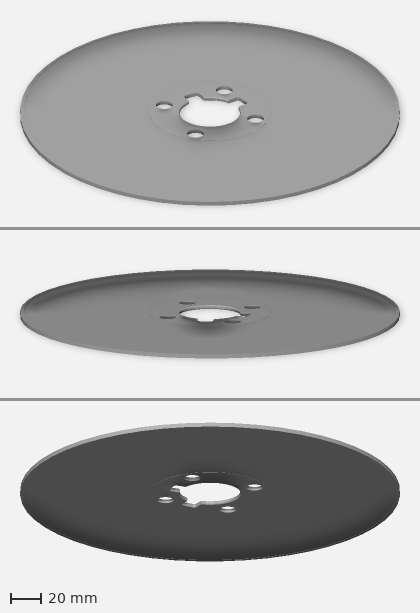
import cadquery as cq

rim_thickness = 2.8
hub_thickness = 2.5
web_thickness = 2.2

outer_diameter = 250.0
core_diameter = 248.0
rim_inner_diameter = 245.8

hub_diameter = 80.0
bore_diameter = 40.0
bore_chamfer = 0.5
keyway_width = 11.0
keyway_reach = 27.5
keyway_corner_radius = 2.0
keyway_angles = (99.0, 180.0)
bolt_hole_diameter = 11.0
bolt_circle_diameter = 63.0
bolt_hole_count = 4
first_bolt_angle = 45.0


def centred_disc(diameter, thickness):
    """Plain disc centred on the origin."""
    return cq.Workplane("XY").circle(diameter / 2).extrude(thickness / 2, both=True)


def make_bore():
    """Cutter for the bore, flared by a chamfer at both hub faces."""
    radius = bore_diameter / 2
    half = hub_thickness / 2
    profile = [
        (0, -half),
        (radius + bore_chamfer, -half),
        (radius, bore_chamfer - half),
        (radius, half - bore_chamfer),
        (radius + bore_chamfer, half),
        (0, half),
    ]
    return cq.Workplane("XZ").polyline(profile).close().revolve(360, (0, 0, 0), (0, 1, 0))


def make_keyway(angle):
    """Cutter for one keyway, running outward from the wheel axis at the given angle."""
    cutter = (
        cq.Workplane("XY")
        .box(keyway_reach, keyway_width, hub_thickness, centered=(False, True, True))
        .edges("|Z and >X")
        .fillet(keyway_corner_radius)
    )
    return cutter.rotate((0, 0, 0), (0, 0, 1), angle)


def make_bolt_holes():
    """Cutter for the circle of bolt holes."""
    return (
        cq.Workplane("XY")
        .polarArray(bolt_circle_diameter / 2, first_bolt_angle, 360, bolt_hole_count)
        .circle(bolt_hole_diameter / 2)
        .extrude(hub_thickness / 2, both=True)
    )


def make_core():
    """Thin web with a slightly raised hub, a keyed bore and bolt holes."""
    core = centred_disc(core_diameter, web_thickness).union(centred_disc(hub_diameter, hub_thickness))
    core = core.cut(make_bore())
    for angle in keyway_angles:
        core = core.cut(make_keyway(angle))
    return core.cut(make_bolt_holes())


def make_rim():
    """Square-edged band with a channel that grips the edge of the core."""
    band = centred_disc(outer_diameter, rim_thickness)
    opening = centred_disc(rim_inner_diameter, rim_thickness)
    channel = centred_disc(core_diameter, web_thickness)
    return band.cut(opening).cut(channel)


core = make_core()
rim = make_rim()
result = cq.Compound.makeCompound([core.val(), rim.val()])